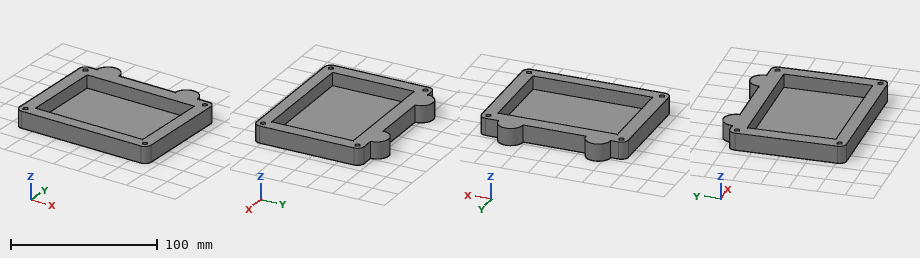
import cadquery as cq

plate_length = 108.0
plate_width = 83.0
plate_height = 13.0
corner_radius = 5.0

pocket_length = 88.0
pocket_width = 63.0
floor_thickness = 3.0
pocket_center_x = 0.3
pocket_center_y = -0.8

screw_hole_diameter = 3.4
hole_spacing_x = plate_length - 2 * corner_radius
hole_spacing_y = plate_width - 2 * corner_radius

lug_radius = 9.07
lug_spacing = 64.5
lug_pair_center_x = -1.8


def make_plate():
    """Full-height block with rounded vertical corners."""
    block = cq.Workplane("XY").box(
        plate_length, plate_width, plate_height, centered=(True, True, False)
    )
    return block.edges("|Z").fillet(corner_radius)


def make_lugs():
    """Two full-height discs whose outer halves stand out from the rear edge."""
    rear_edge_y = plate_width / 2
    lug_centers = [
        (lug_pair_center_x + side * lug_spacing / 2, rear_edge_y) for side in (-1, 1)
    ]
    return cq.Workplane("XY").pushPoints(lug_centers).circle(lug_radius).extrude(plate_height)


def make_pocket():
    """Volume removed above the floor."""
    return (
        cq.Workplane("XY", origin=(pocket_center_x, pocket_center_y, floor_thickness))
        .rect(pocket_length, pocket_width)
        .extrude(plate_height - floor_thickness)
    )


def make_screw_holes():
    """Four through holes, one in each corner."""
    return (
        cq.Workplane("XY")
        .rect(hole_spacing_x, hole_spacing_y, forConstruction=True)
        .vertices()
        .circle(screw_hole_diameter / 2)
        .extrude(plate_height)
    )


result = make_plate().union(make_lugs()).cut(make_pocket()).cut(make_screw_holes())